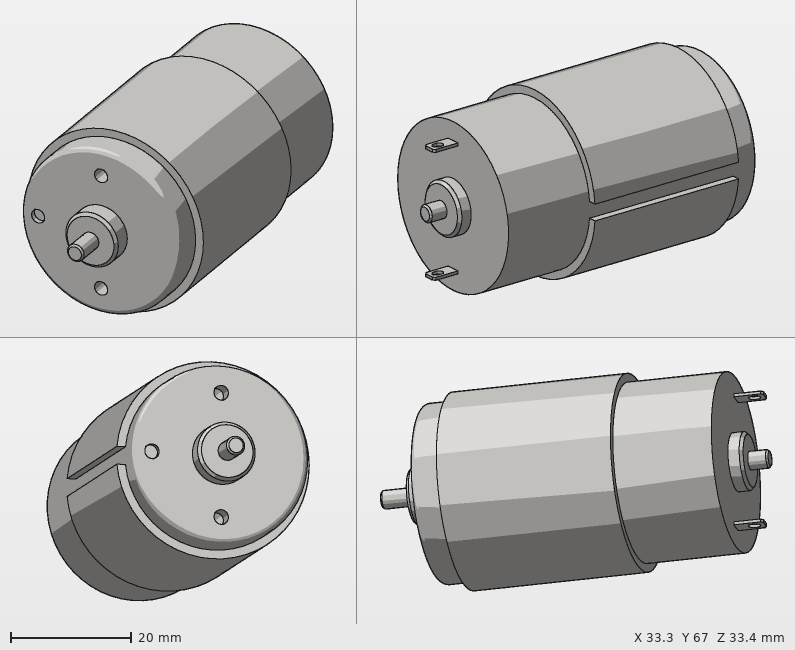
import cadquery as cq

CAN_DIAMETER = 30.4
CAN_LENGTH = 52.1
CAN_FRONT_ROUND = 1.0

SLEEVE_DIAMETER = 33.35
SLEEVE_START = 5.0
SLEEVE_LENGTH = 30.1
SLEEVE_SLIT_WIDTH = 3.0

FRONT_BOSS_DIAMETER = 10.0
FRONT_BOSS_LENGTH = 3.6
REAR_BOSS_DIAMETER = 9.9
REAR_BOSS_LENGTH = 2.5
BOSS_CHAMFER = 0.55

SHAFT_DIAMETER = 3.15
SHAFT_LENGTH = 67
SHAFT_FRONT_OVERHANG = 9.0
SHAFT_CHAMFER = 0.35

HOLE_DIAMETER = 2.5
MOUNTING_HOLE_DEPTH = 3.0
HOLE_POINT_DEPTH = 0.75
MOUNTING_HOLE_OFFSET = 10.5
SIDE_HOLE_OFFSET = 12.0
SIDE_HOLE_DEPTH = 1.0

TERMINAL_WIDTH = 2.7
TERMINAL_THICKNESS = 0.55
TERMINAL_LENGTH = 5.0
TERMINAL_OFFSET = 11.5
TERMINAL_CORNER = 0.4
EYELET_LENGTH = 2.0
EYELET_WIDTH = 1.5
EYELET_DISTANCE = 3.2


def cylinder_along_y(diameter, start, length, x=0, z=0):
    """Cylinder running from Y = start towards +Y."""
    return cq.Workplane("XZ", origin=(x, start, z)).circle(diameter / 2).extrude(-length)


def split_sleeve():
    """Sleeve with a lengthwise slit on its -X side; the can fills its bore."""
    sleeve = cylinder_along_y(SLEEVE_DIAMETER, SLEEVE_START, SLEEVE_LENGTH)
    slit = cq.Workplane("XY").box(
        SLEEVE_DIAMETER / 2, SLEEVE_LENGTH, SLEEVE_SLIT_WIDTH, centered=(False, False, True)
    )
    return sleeve.cut(slit.translate((-SLEEVE_DIAMETER / 2, SLEEVE_START, 0)))


def pointed_hole(z):
    """Cutter for a blind hole with a conical bottom."""
    radius = HOLE_DIAMETER / 2
    profile = (
        cq.Workplane("XY")
        .lineTo(radius, 0)
        .lineTo(radius, MOUNTING_HOLE_DEPTH)
        .lineTo(0, MOUNTING_HOLE_DEPTH + HOLE_POINT_DEPTH)
        .close()
    )
    return profile.revolve(360, (0, 0, 0), (0, 1, 0)).translate((0, 0, z))


def terminal(z):
    """Flat tab with cut corners and an oblong eyelet."""
    tab = (
        cq.Workplane("XY")
        .box(TERMINAL_WIDTH, TERMINAL_LENGTH, TERMINAL_THICKNESS, centered=(True, False, True))
        .edges("|Z and >Y")
        .chamfer(TERMINAL_CORNER)
    )
    eyelet = (
        cq.Workplane("XY")
        .center(0, EYELET_DISTANCE)
        .slot2D(EYELET_LENGTH, EYELET_WIDTH, 90)
        .extrude(TERMINAL_THICKNESS, both=True)
    )
    return tab.cut(eyelet).translate((0, CAN_LENGTH, z))


can = cylinder_along_y(CAN_DIAMETER, 0, CAN_LENGTH).faces("<Y").edges().fillet(CAN_FRONT_ROUND)

front_boss = (
    cylinder_along_y(FRONT_BOSS_DIAMETER, -FRONT_BOSS_LENGTH, FRONT_BOSS_LENGTH)
    .faces("<Y")
    .edges()
    .chamfer(BOSS_CHAMFER)
)
rear_boss = (
    cylinder_along_y(REAR_BOSS_DIAMETER, CAN_LENGTH, REAR_BOSS_LENGTH)
    .faces(">Y")
    .edges()
    .chamfer(BOSS_CHAMFER)
)
shaft = (
    cylinder_along_y(SHAFT_DIAMETER, -SHAFT_FRONT_OVERHANG, SHAFT_LENGTH)
    .faces("<Y or >Y")
    .edges()
    .chamfer(SHAFT_CHAMFER)
)

result = split_sleeve().union(can).union(front_boss).union(rear_boss).union(shaft)

for side in (-1, 1):
    result = result.union(terminal(side * TERMINAL_OFFSET))
    result = result.cut(pointed_hole(side * MOUNTING_HOLE_OFFSET))

result = result.cut(cylinder_along_y(HOLE_DIAMETER, 0, SIDE_HOLE_DEPTH, x=-SIDE_HOLE_OFFSET))